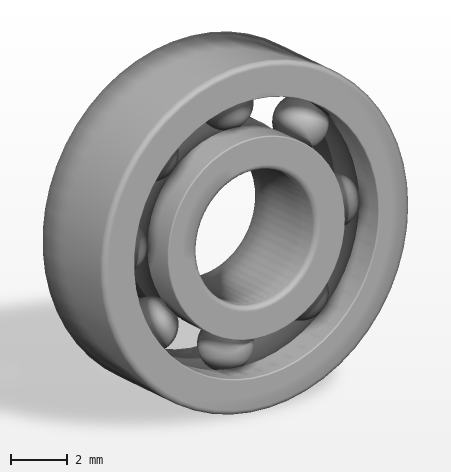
import cadquery as cq
import math

outer_diameter = 13.0
width = 4.0
bore_diameter = 5.0
inner_ring_diameter = 7.5
outer_ring_bore = 10.34
ball_diameter = 2.0
pitch_radius = 4.5
ball_count = 8
mounting_fillet = 0.2
shoulder_fillet = 0.05

ball_radius = ball_diameter / 2
ball_pitch_angle = 2 * math.pi / ball_count


def plain_ring(outside_diameter, inside_diameter):
    """Square-edged ring around X, centred on X = 0."""
    return (
        cq.Workplane("YZ", origin=(-width / 2, 0, 0))
        .circle(outside_diameter / 2)
        .circle(inside_diameter / 2)
        .extrude(width)
    )


def round_rims(ring, diameter, fillet_radius):
    """Round both rim edges of the cylindrical face with the given diameter."""
    largest_radius = diameter / 2 + fillet_radius / 2
    smallest_radius = diameter / 2 - fillet_radius / 2
    rims = ring.faces("<X or >X").edges().filter(
        lambda edge: smallest_radius < edge.radius() < largest_radius
    )
    return rims.fillet(fillet_radius)


def raceway():
    """Torus swept by the balls, which cuts the matching groove in each ring."""
    ball_profile = cq.Workplane("XY").center(0, pitch_radius).circle(ball_radius)
    return ball_profile.revolve(360, (0, -pitch_radius), (1, -pitch_radius))


def make_outer_ring():
    ring = plain_ring(outer_diameter, outer_ring_bore)
    ring = round_rims(ring, outer_diameter, mounting_fillet)
    ring = round_rims(ring, outer_ring_bore, shoulder_fillet)
    return ring.cut(raceway()).solids()


def make_inner_ring():
    ring = plain_ring(inner_ring_diameter, bore_diameter)
    ring = round_rims(ring, bore_diameter, mounting_fillet)
    ring = round_rims(ring, inner_ring_diameter, shoulder_fillet)
    return ring.cut(raceway()).solids()


def make_ball(angle):
    """Ball on the pitch circle, at an angle measured from +Y towards +Z."""
    center = (0, pitch_radius * math.cos(angle), pitch_radius * math.sin(angle))
    return cq.Workplane("YZ").sphere(ball_radius).translate(center)


outer_ring = make_outer_ring()
inner_ring = make_inner_ring()
balls = [make_ball(index * ball_pitch_angle) for index in range(ball_count)]

result = cq.Compound.makeCompound(
    [outer_ring.val(), inner_ring.val(), *[ball.val() for ball in balls]]
)